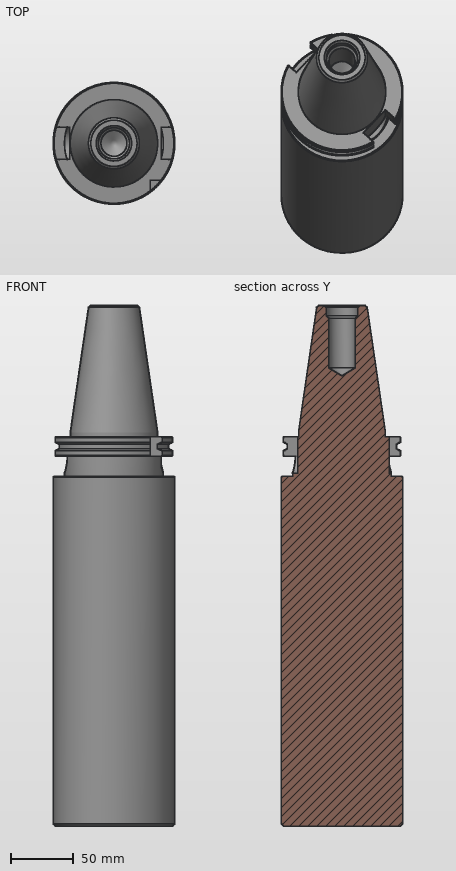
import cadquery as cq
import math

total_height = 416.8
taper_length = 101.5
gauge_height = total_height - taper_length
flange_drop = 3.5
flange_top = gauge_height - flange_drop
flange_thickness = 16.0
flange_bottom = flange_top - flange_thickness
body_drop = 35.0
body_height = gauge_height - body_drop

body_radius = 48.8
flange_radius = body_radius
neck_radius = 39.5
gauge_radius = 35.0
taper_ratio = 7 / 24
taper_end_radius = gauge_radius - taper_length * taper_ratio / 2

foot_chamfer = 2.0
body_top_chamfer = 1.0
flange_chamfer = 1.0
taper_end_chamfer = 1.5

groove_drop = 11.3
groove_mouth = 7.0
groove_depth = 3.13
groove_half_angle = math.radians(30)

slot_width = 26.0
slot_length = 29.0
slot_bottom = flange_top - slot_length
left_slot_floor = 35.5
right_slot_floor = 38.0

notch_x = 29.0
notch_y = -29.5

mouth_radius = 14.0
counterbore_radius = 12.5
counterbore_depth = 8.5
bore_radius = 10.5
bore_depth = 50.0
drill_half_angle = math.radians(59)


def revolve_profile(points):
    """Turn a closed outline of (radius, height) points around the Z axis."""
    return cq.Workplane("XZ").polyline(points).close().revolve(360, (0, 0, 0), (0, 1, 0))


def turned_blank():
    return revolve_profile([
        (0, 0),
        (body_radius - foot_chamfer, 0),
        (body_radius, foot_chamfer),
        (body_radius, body_height - body_top_chamfer),
        (body_radius - body_top_chamfer, body_height),
        (neck_radius, body_height),
        (neck_radius, flange_bottom),
        (flange_radius - flange_chamfer, flange_bottom),
        (flange_radius, flange_bottom + flange_chamfer),
        (flange_radius, flange_top - flange_chamfer),
        (flange_radius - flange_chamfer, flange_top),
        (gauge_radius, flange_top),
        (gauge_radius, gauge_height),
        (taper_end_radius + taper_end_chamfer * taper_ratio / 2, total_height - taper_end_chamfer),
        (taper_end_radius - taper_end_chamfer, total_height),
        (0, total_height),
    ])


def flange_groove():
    center = gauge_height - groove_drop
    half_mouth = groove_mouth / 2
    half_floor = half_mouth - groove_depth * math.tan(groove_half_angle)
    floor_radius = flange_radius - groove_depth
    outer_radius = flange_radius + groove_depth
    return revolve_profile([
        (floor_radius, center - half_floor),
        (flange_radius, center - half_mouth),
        (outer_radius, center - half_mouth),
        (outer_radius, center + half_mouth),
        (flange_radius, center + half_mouth),
        (floor_radius, center + half_floor),
    ])


def drive_slot(floor_distance, side):
    """Round-ended slot with a flat floor; side is -1 for -X and +1 for +X."""
    half_width = slot_width / 2
    arc_center = slot_bottom + half_width
    return (
        cq.Workplane("YZ", origin=(side * floor_distance, 0, 0))
        .moveTo(-half_width, flange_top)
        .lineTo(-half_width, arc_center)
        .threePointArc((0, slot_bottom), (half_width, arc_center))
        .lineTo(half_width, flange_top)
        .close()
        .extrude(side * flange_radius)
    )


def orientation_notch():
    return (
        cq.Workplane("XY", origin=(notch_x, notch_y, flange_bottom))
        .rect(flange_radius, -flange_radius, centered=False)
        .extrude(flange_thickness)
    )


def pull_stud_bore():
    mouth_chamfer = mouth_radius - counterbore_radius
    shoulder_height = total_height - counterbore_depth
    shoulder_drop = counterbore_radius - bore_radius
    bore_end = total_height - bore_depth
    return revolve_profile([
        (0, total_height),
        (mouth_radius, total_height),
        (counterbore_radius, total_height - mouth_chamfer),
        (counterbore_radius, shoulder_height),
        (bore_radius, shoulder_height - shoulder_drop),
        (bore_radius, bore_end),
        (0, bore_end - bore_radius / math.tan(drill_half_angle)),
    ])


result = (
    turned_blank()
    .cut(flange_groove())
    .cut(drive_slot(left_slot_floor, -1))
    .cut(drive_slot(right_slot_floor, 1))
    .cut(orientation_notch())
    .cut(pull_stud_bore())
)